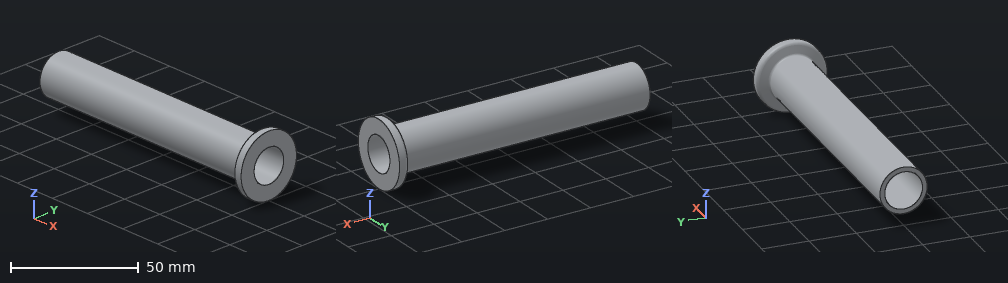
import cadquery as cq
import math

length = 120.0
tube_radius = 20.0 / 2
bore_radius = 16.0 / 2
flange_radius = 30.0 / 2
rim_width = 4.1
cone_angle = 15.0
rim_fillet = 1.5
neck_fillet = 0.8

rim_x = length - rim_width
neck_x = rim_x - (flange_radius - tube_radius) * math.tan(math.radians(cone_angle))

body = (
    cq.Workplane("XY")
    .moveTo(0, bore_radius)
    .lineTo(0, tube_radius)
    .lineTo(neck_x, tube_radius)
    .lineTo(rim_x, flange_radius)
    .lineTo(length, flange_radius)
    .lineTo(length, bore_radius)
    .close()
    .revolve(360, (0, 0, 0), (1, 0, 0))
)


def round_circle(solid, x, radius, fillet_radius):
    """Fillet the circular edge with the given axial position and radius."""
    margin = 0.1
    reach = radius + margin
    edge_zone = cq.selectors.BoxSelector(
        (x - margin, -reach, -reach), (x + margin, reach, reach), boundingbox=True
    )
    return solid.edges(edge_zone).edges("%CIRCLE").fillet(fillet_radius)


body = round_circle(body, rim_x, flange_radius, rim_fillet)
result = round_circle(body, neck_x, tube_radius, neck_fillet)